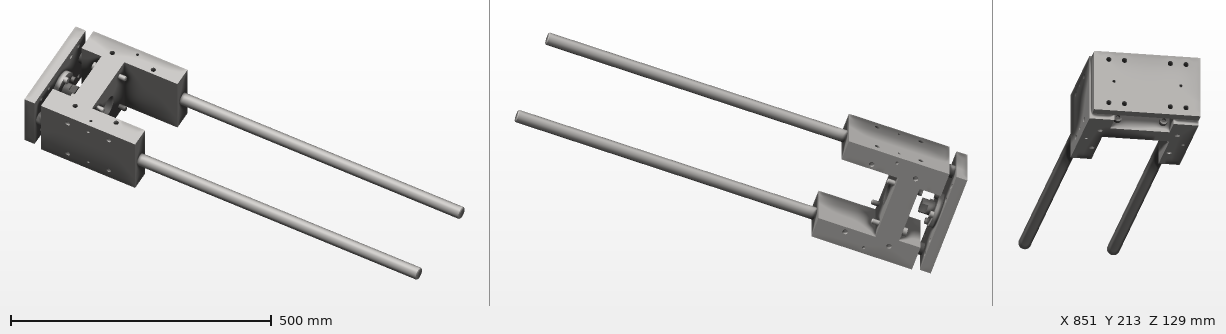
import cadquery as cq


total_length = 851.0
housing_width = 213.0
housing_height = 129.0

plate_thickness = 22.0
plate_width = 208.0
plate_height = 121.0

housing_start = 37.5
housing_length = 205.0
web_start = 81.0
web_thickness = 46.0
front_leg_gap = 116.0
rear_leg_gap = 131.0
web_bore_diameter = 45.0
housing_mid = housing_start + housing_length / 2

rod_diameter = 25.0
rod_spacing = 173.0
rod_chamfer = 2.0

hole_spacing = 89.0
hole_diameter = 10.0
hole_depth = 20.0
drill_diameter = 8.5
drill_depth = 25.0
dowel_diameter = 6.0
dowel_depth = 10.0
outer_hole_spacing = 151.0
housing_dowel_spacing = 189.0
plate_dowel_spacing = 130.0

screw_diameter = 10.0
screw_tail_length = 15.0
screw_tail_chamfer = 2.0
screw_head_diameter = 16.0
screw_head_height = 10.0
socket_diameter = 8.0
socket_depth = 5.0

flange_diameter = 70.0
flange_thickness = 10.0
hub_diameter = 29.0
hub_length = 25.5
flat_length = 13.0
across_flats = 23.0
flange_screw_circle = 56.0
flange_screw_count = 4
flange_screw_head_diameter = 13.0
flange_screw_head_height = 7.0


def pair(spacing):
    """Two coordinates placed evenly about zero."""
    return (-spacing / 2, spacing / 2)


def grid(first_positions, second_positions):
    """Every combination of two lists of coordinates."""
    return [(a, b) for a in first_positions for b in second_positions]


def block(x_start, length, width, height):
    """A box centred on the X axis."""
    return cq.Workplane("XY").box(length, width, height, centered=(False, True, True)).translate((x_start, 0, 0))


def x_cylinders(x_start, length, diameter, points):
    """Cylinders along +X, one at each (Y, Z) point."""
    return cq.Workplane("YZ", origin=(x_start, 0, 0)).pushPoints(points).circle(diameter / 2).extrude(length)


rod_points = grid(pair(rod_spacing), (0,))
square_points = grid(pair(hole_spacing), pair(hole_spacing))


def cut_face_holes(body, face, inward, hole_points, dowel_points):
    """Threaded holes with a narrower drilled end, and dowel holes, sunk into one face.

    The inward factor is 1 or -1 and turns depths to point into the body along the face normal.
    """
    bores = (
        (hole_points, hole_diameter, hole_depth),
        (hole_points, drill_diameter, drill_depth),
        (dowel_points, dowel_diameter, dowel_depth),
    )
    for points, diameter, depth in bores:
        body = body.cut(face.pushPoints(points).circle(diameter / 2).extrude(inward * depth))
    return body


def cut_side_holes(body):
    """Threaded and dowel holes in both outer Y faces."""
    hole_points = grid([housing_mid + dx for dx in pair(hole_spacing)], pair(hole_spacing))
    dowel_points = grid([housing_mid], pair(hole_spacing))
    for side in (-1, 1):
        face = cq.Workplane("XZ", origin=(0, side * housing_width / 2, 0))
        body = cut_face_holes(body, face, side, hole_points, dowel_points)
    return body


def cut_top_and_bottom_holes(body):
    """Threaded and dowel holes in the top and bottom faces."""
    hole_points = grid([housing_mid + dx for dx in pair(hole_spacing)], pair(outer_hole_spacing))
    dowel_points = grid([housing_mid], pair(housing_dowel_spacing))
    for side in (-1, 1):
        face = cq.Workplane("XY", origin=(0, 0, side * housing_height / 2))
        body = cut_face_holes(body, face, -side, hole_points, dowel_points)
    return body


def make_web_screws():
    """Socket-head screws whose heads and tails stand out of the web."""
    head_start = web_start - screw_head_height
    shank_length = web_thickness + screw_tail_length
    shanks = x_cylinders(web_start, shank_length, screw_diameter, square_points)
    shanks = shanks.faces(">X").chamfer(screw_tail_chamfer)
    heads = x_cylinders(head_start, screw_head_height, screw_head_diameter, square_points)
    sockets = x_cylinders(head_start, socket_depth, socket_diameter, square_points)
    return heads.cut(sockets).union(shanks)


def make_housing():
    """H-shaped block with rod bores, web bore, mounting holes and its fixed screws."""
    body = block(housing_start, housing_length, housing_width, housing_height)
    web_end = web_start + web_thickness
    housing_end = housing_start + housing_length
    body = body.cut(block(housing_start, web_start - housing_start, front_leg_gap, housing_height))
    body = body.cut(block(web_end, housing_end - web_end, rear_leg_gap, housing_height))
    body = body.cut(x_cylinders(housing_start, housing_length, rod_diameter, rod_points))
    body = body.cut(x_cylinders(web_start, web_thickness, web_bore_diameter, [(0, 0)]))
    body = cut_side_holes(body)
    body = cut_top_and_bottom_holes(body)
    return body.union(make_web_screws())


def make_plate():
    """Front plate with its through holes."""
    plate = block(0, plate_thickness, plate_width, plate_height)
    outer_points = grid(pair(outer_hole_spacing), pair(hole_spacing))
    dowel_points = grid(pair(plate_dowel_spacing), (0,))
    plate = plate.cut(x_cylinders(0, plate_thickness, hole_diameter, outer_points + square_points))
    return plate.cut(x_cylinders(0, dowel_depth, dowel_diameter, dowel_points))


def make_rods():
    """Two guide rods, chamfered at their free ends."""
    rods = x_cylinders(plate_thickness, total_length - plate_thickness, rod_diameter, rod_points)
    return rods.faces(">X").chamfer(rod_chamfer)


def make_coupling():
    """Round flange with screw heads and a hub that ends in two wrench flats."""
    flange_end = plate_thickness + flange_thickness
    flange = x_cylinders(plate_thickness, flange_thickness, flange_diameter, [(0, 0)])
    hub = x_cylinders(flange_end, hub_length, hub_diameter, [(0, 0)])
    flat_start = flange_end + hub_length - flat_length
    flat_end = block(flat_start, flat_length, hub_diameter, hub_diameter)
    flat_end = flat_end.cut(block(flat_start, flat_length, hub_diameter, across_flats))
    heads = (
        cq.Workplane("YZ", origin=(flange_end, 0, 0))
        .polarArray(flange_screw_circle / 2, 0, 360, flange_screw_count)
        .circle(flange_screw_head_diameter / 2)
        .extrude(flange_screw_head_height)
    )
    return flange.union(hub.cut(flat_end)).union(heads)


def make_carriage():
    """Moving body: plate, guide rods and coupling in one piece."""
    return make_plate().union(make_rods()).union(make_coupling())


housing = make_housing()
carriage = make_carriage()

result = cq.Compound.makeCompound([housing.val(), carriage.val()])